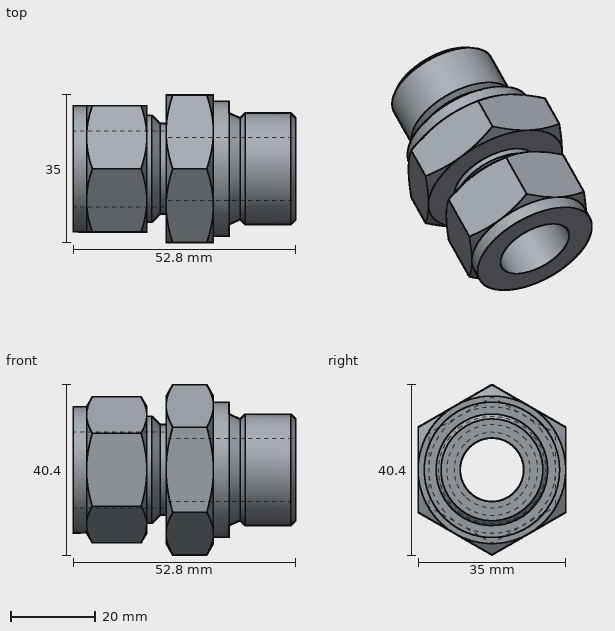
import cadquery as cq
import math


collar_end = 3.2
nut_end = 17.5
neck_rim_end = 18.7
body_hex_start = 22.05
body_hex_end = 33.25
flange_end = 37.0
relief_taper_end = 39.6
total_length = 52.8

nut_flats = 30.0
collar_diameter = nut_flats
body_hex_flats = 35.0
neck_rim_diameter = 25.45
neck_diameter = 21.55
flange_diameter = 32.1
thread_diameter = 26.45
thread_chamfer = 1.15
relief_diameter = thread_diameter - 2 * thread_chamfer
bore_diameter = 15.0
tube_socket_diameter = 17.95

neck_taper_end = neck_rim_end + (neck_rim_diameter - neck_diameter) / 2

tube_socket_depth = body_hex_start

hex_bevel_angle = math.radians(30)


def cylinder(diameter, start, end):
    """Round bar along X between two axial stations."""
    return cq.Workplane("YZ", origin=(start, 0, 0)).circle(diameter / 2).extrude(end - start)


def turned(outline):
    """Solid of revolution about X from (x, radius) points."""
    return cq.Workplane("XY").polyline(outline).close().revolve(360, (0, 0, 0), (1, 0, 0))


def bevelled_hex(flats, start, end):
    """Hexagon with corners at +Z and -Z, both ends bevelled down to the circle touching the flats."""
    flat_radius = flats / 2
    corner_radius = flat_radius / math.cos(math.pi / 6)
    bevel_length = (corner_radius - flat_radius) * math.tan(hex_bevel_angle)
    corners = [
        (corner_radius * math.sin(i * math.pi / 3), corner_radius * math.cos(i * math.pi / 3))
        for i in range(6)
    ]
    prism = cq.Workplane("YZ", origin=(start, 0, 0)).polyline(corners).close().extrude(end - start)
    bevel_envelope = turned([
        (start, 0),
        (start, flat_radius),
        (start + bevel_length, corner_radius),
        (end - bevel_length, corner_radius),
        (end, flat_radius),
        (end, 0),
    ])
    return prism.intersect(bevel_envelope)


def turned_core():
    """Collar, neck, sealing flange, thread relief and plain thread as one turned bar."""
    collar_radius = collar_diameter / 2
    neck_rim_radius = neck_rim_diameter / 2
    neck_radius = neck_diameter / 2
    flange_radius = flange_diameter / 2
    thread_radius = thread_diameter / 2
    relief_radius = relief_diameter / 2
    return turned([
        (0, 0),
        (0, collar_radius),
        (collar_end, collar_radius),
        (collar_end, neck_rim_radius),
        (neck_rim_end, neck_rim_radius),
        (neck_taper_end, neck_radius),
        (body_hex_end, neck_radius),
        (body_hex_end, flange_radius),
        (flange_end, flange_radius),
        (flange_end, thread_radius),
        (relief_taper_end, relief_radius),
        (relief_taper_end + thread_chamfer, thread_radius),
        (total_length - thread_chamfer, thread_radius),
        (total_length, relief_radius),
        (total_length, 0),
    ])


nut = bevelled_hex(nut_flats, collar_end, nut_end)
body_hex = bevelled_hex(body_hex_flats, body_hex_start, body_hex_end)
bore = cylinder(bore_diameter, 0, total_length)
tube_socket = cylinder(tube_socket_diameter, 0, tube_socket_depth)

result = turned_core().union(nut).union(body_hex).cut(bore).cut(tube_socket)